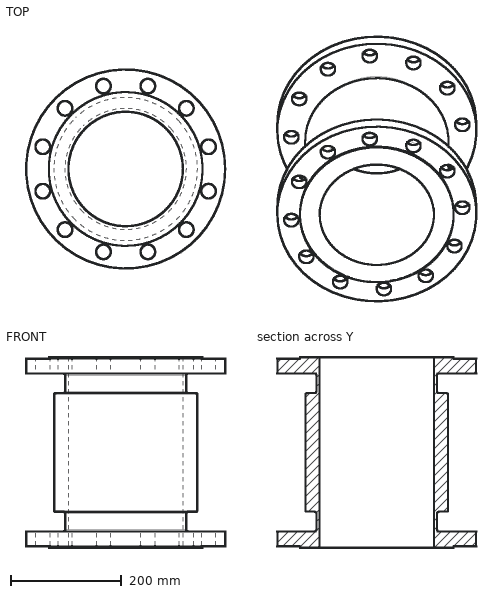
import cadquery as cq

LENGTH = 345.0

FLANGE_DIA = 360.0
FLANGE_THICKNESS = 30.0
RAISED_FACE_DIA = 278.0
RAISED_FACE_HEIGHT = 3.0

BOLT_COUNT = 12
BOLT_CIRCLE_DIA = 310.0
BOLT_HOLE_DIA = 26.0

PIPE_OUTER_DIA = 219.1
BORE_DIA = 206.5
ROOT_FILLET = 3.0

SLEEVE_DIA = 259.0
SLEEVE_LENGTH = 215.0
SLEEVE_FILLET = 3.0


def disc(diameter, length, bottom):
    """Solid cylinder on the Z axis, starting at height `bottom`."""
    return cq.Workplane("XY", origin=(0, 0, bottom)).circle(diameter / 2).extrude(length)


def make_sleeve():
    """Solid sleeve centred on the origin, with both rims rounded."""
    sleeve = disc(SLEEVE_DIA, SLEEVE_LENGTH, -SLEEVE_LENGTH / 2)
    return sleeve.edges().fillet(SLEEVE_FILLET)


def make_upper_flange():
    """Flange disc at the top end, with its raised sealing face."""
    plate_thickness = FLANGE_THICKNESS - RAISED_FACE_HEIGHT
    plate = disc(FLANGE_DIA, plate_thickness, LENGTH / 2 - FLANGE_THICKNESS)
    raised_face = disc(RAISED_FACE_DIA, FLANGE_THICKNESS, LENGTH / 2 - FLANGE_THICKNESS)
    return plate.union(raised_face)


def fillet_pipe_roots(body):
    """Round the inside corners where the pipe meets the flanges and the sleeve."""
    flange_back = LENGTH / 2 - FLANGE_THICKNESS
    sleeve_end = SLEEVE_LENGTH / 2
    root_heights = (-flange_back, -sleeve_end, sleeve_end, flange_back)
    tolerance = 0.01
    pipe_box = PIPE_OUTER_DIA / 2 + tolerance
    for height in root_heights:
        roots = cq.selectors.BoxSelector(
            (-pipe_box, -pipe_box, height - tolerance),
            (pipe_box, pipe_box, height + tolerance),
            boundingbox=True,
        )
        body = body.edges(roots).fillet(ROOT_FILLET)
    return body


def make_body():
    """Pipe, sleeve and both flanges joined as one solid, before any hole is cut."""
    upper_flange = make_upper_flange()
    body = disc(PIPE_OUTER_DIA, LENGTH, -LENGTH / 2)
    body = body.union(make_sleeve())
    body = body.union(upper_flange)
    body = body.union(upper_flange.mirror("XY"))
    return fillet_pipe_roots(body)


def make_bore():
    return disc(BORE_DIA, LENGTH, -LENGTH / 2)


def make_bolt_holes():
    """Bolt pattern straddling the X and Y axes, cut through both flanges."""
    first_angle = 180 / BOLT_COUNT
    return (
        cq.Workplane("XY", origin=(0, 0, -LENGTH / 2))
        .polarArray(BOLT_CIRCLE_DIA / 2, first_angle, 360, BOLT_COUNT)
        .circle(BOLT_HOLE_DIA / 2)
        .extrude(LENGTH)
    )


result = make_body().cut(make_bore()).cut(make_bolt_holes())